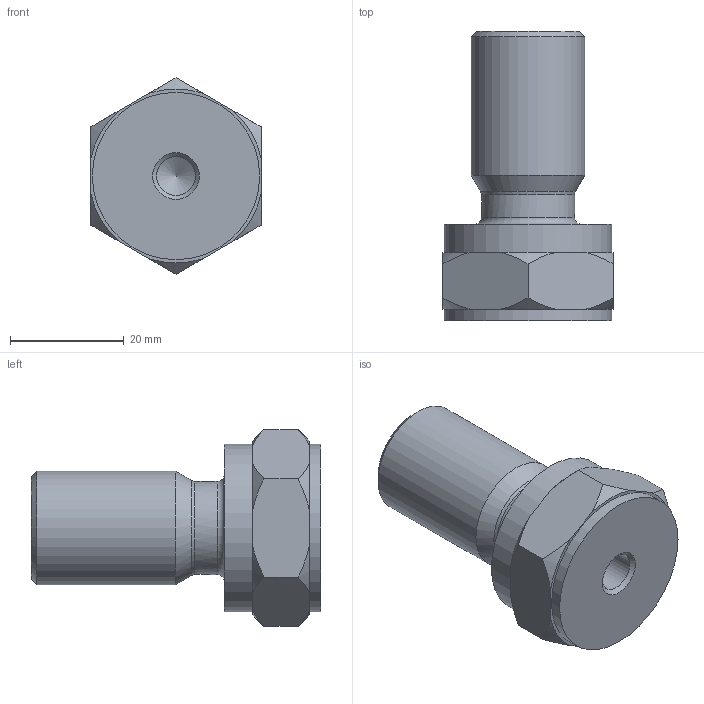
import math

import cadquery as cq

hex_sides = 6
across_flats = 30.0
corner_turn = 30.0
across_corners = across_flats / math.cos(math.pi / hex_sides)
hex_length = 10.0
hex_chamfer = 2.0

disc_radius = 14.75
front_land = 2.0
rear_land = 5.0

shank_radius = 10.0
shank_chamfer = 1.0
neck_radius = 8.2
neck_length = 5.5
neck_cone_angle = 30.0
neck_cone_blend = 1.2
root_fillet = 1.2
total_length = 51.0

hole_radius = 3.4
hole_depth = 16.0
hole_countersink = 0.7
drill_half_angle = 59.0

selection_margin = 0.1

hex_start = front_land
hex_end = hex_start + hex_length
shoulder = hex_end + rear_land
neck_end = shoulder + neck_length
cone_length = (shank_radius - neck_radius) / math.tan(math.radians(neck_cone_angle))
shank_start = neck_end + cone_length


def revolve_profile(points):
    """Turn a closed (radius, y) outline about the Y axis."""
    return cq.Workplane("XY").polyline(points).close().revolve(360, (0, 0, 0), (0, 1, 0))


def neck_edge(body, y):
    """Select the circular edge of the neck at station y."""
    reach = neck_radius + selection_margin
    low = (-reach, y - selection_margin, -reach)
    high = (reach, y + selection_margin, reach)
    return body.edges(cq.selectors.BoxSelector(low, high, boundingbox=True))


def make_turned_body():
    """Disc, necked shank and their blends."""
    body = revolve_profile([
        (0, 0),
        (disc_radius, 0),
        (disc_radius, shoulder),
        (neck_radius, shoulder),
        (neck_radius, neck_end),
        (shank_radius, shank_start),
        (shank_radius, total_length - shank_chamfer),
        (shank_radius - shank_chamfer, total_length),
        (0, total_length),
    ])
    body = neck_edge(body, neck_end).fillet(neck_cone_blend)
    return neck_edge(body, shoulder).fillet(root_fillet)


def make_hexagon():
    """Hexagon with corners on +Z and -Z, its corners turned off at 45 degrees."""
    prism = (
        cq.Workplane("XZ", origin=(0, hex_start, 0))
        .polygon(hex_sides, across_corners)
        .extrude(-hex_length)
        .rotate((0, 0, 0), (0, 1, 0), corner_turn)
    )
    corner_radius = across_corners / 2
    face_radius = corner_radius - hex_chamfer
    envelope = revolve_profile([
        (0, hex_start),
        (face_radius, hex_start),
        (corner_radius, hex_start + hex_chamfer),
        (corner_radius, hex_end - hex_chamfer),
        (face_radius, hex_end),
        (0, hex_end),
    ])
    return prism.intersect(envelope)


def make_hole():
    """Countersunk drilled hole with a conical bottom."""
    tip_length = hole_radius / math.tan(math.radians(drill_half_angle))
    return revolve_profile([
        (0, 0),
        (hole_radius + hole_countersink, 0),
        (hole_radius, hole_countersink),
        (hole_radius, hole_depth),
        (0, hole_depth + tip_length),
    ])


result = make_turned_body().union(make_hexagon()).cut(make_hole())